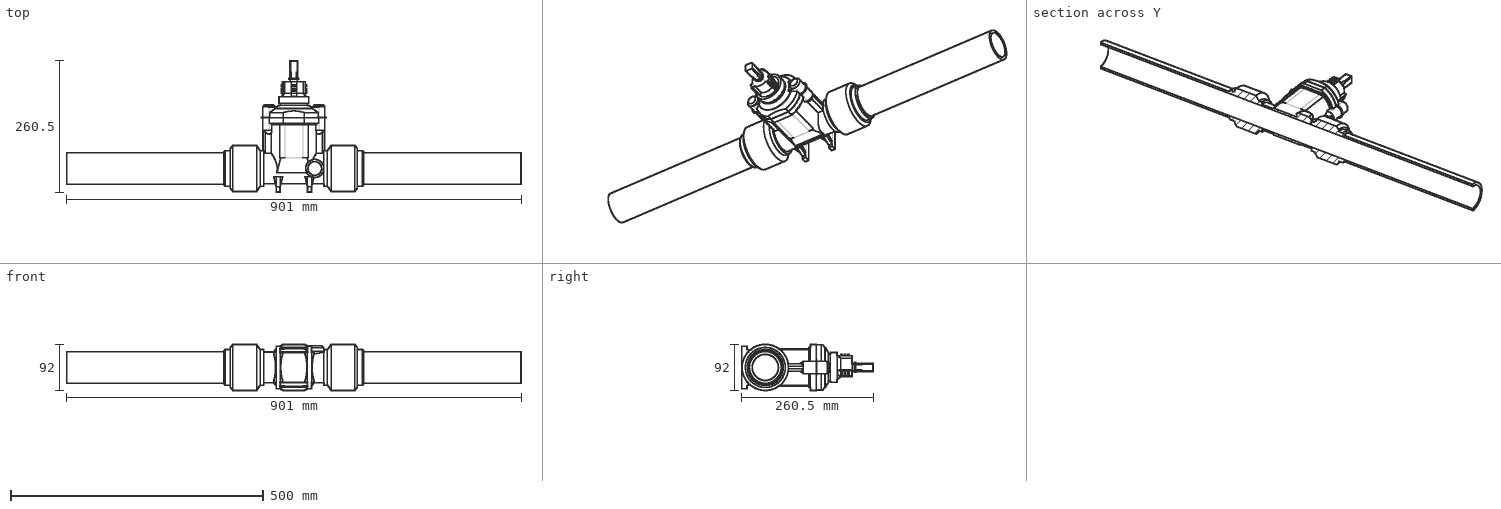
import cadquery as cq
import math


total_length = 901.0
pipe_radius = 31.5
body_radius = 31.0
bore_diameter = 51.0
socket_radius = 46.0
collar_diameter = 71.0
collar_radius = collar_diameter / 2
collar_inner_x = 59.5
socket_cone_inner_x = 67.0
socket_inner_x = 74.0
socket_outer_x = 121.0
socket_cone_outer_x = 126.0
collar_outer_x = 139.0
collar_chamfer = 3.0
socket_cone_radius = 40.0

housing_radius = 45.0
housing_half_height = 37.0
housing_bevel = 2.0
bevel_inner_x = 18.0
seat_top_y = 22.0
seat_bottom_y = -8.0
seat_bottom_z = 31.0
flange_radius = 50.5
flange_half_height = 46.0
bonnet_inset = 1.0
flange_bottom_y = 89.0
flange_root_thickness = 3.0
flange_root_radius = 47.0
flange_root_half_height = 40.0
split_y = 101.0
flange_top_y = 111.0
shoulder_y = 118.0
shoulder_radius = 40.0
dome_base_y = 119.0
dome_top_radius = 30.0
dome_top_y = 125.0
neck_radius = 27.0
neck_step_y = 129.0
gland_flange_radius = 30.0
gland_base_y = 142.0

boss_diameter = 24.0
boss_radius = boss_diameter / 2
boss_x = 50.0
boss_bottom_y = 76.0
boss_top_y = 126.0
boss_tip_length = 9.0
ear_chamfer = 4.0
boss_tip_radius = 6.0
rib_thickness = 14.0
rib_chamfer = 4.5
rib_outer_x = 61.0
gasket_thickness = 1.0
gasket_lip = 3.0

gland_radius = 19.0
gland_foot_radius = 24.0
gland_foot_y = 150.0
gland_top_y = 172.0
gland_rib_count = 3
gland_rib_width = 11.0
gland_rib_root = 23.0
gland_rib_tip = 26.0
tooth_count = 3
tooth_pitch = 6.8
tooth_width = 3.15

spindle_top_y = 213.5
spindle_square = 16.0
spindle_corner_diameter = 21.0
spindle_neck_radius = 7.0
spindle_collar_radius = 10.0
spindle_collar_y = 177.0
spindle_collar_thickness = 3.0
spindle_waist_y = 191.0
spindle_waist_width = 10.0

foot_spacing = 62.0
foot_thickness = 8.0
foot_bottom_y = -47.0
foot_plate_top_y = -36.0
foot_half_height = 42.0
foot_web_top_y = -16.0
foot_web_half_height = 30.0
foot_web_base_half_height = 36.0
gusset_half_width = 9.0
gusset_bottom_y = -36.0

plug_x = 41.0
plug_radius = 18.0
plug_face_radius = 13.5
plug_top_z = 43.0
plug_edge_z = 39.0
plug_rim_z = 32.0
plug_neck_radius = 12.0
plug_neck_z = 25.0


def cylinder_y(radius, start_y, end_y, x=0.0):
    """Cylinder along Y between two Y positions."""
    disc = cq.Workplane("XZ", origin=(x, start_y, 0)).circle(radius)
    return disc.extrude(start_y - end_y)


def block(x_range, y_range, z_range):
    """Box given by its lower and upper limit on each axis."""
    size = [high - low for low, high in (x_range, y_range, z_range)]
    corner = (x_range[0], y_range[0], z_range[0])
    return cq.Workplane("XY").box(*size, centered=False).translate(corner)


def turned_y(outline):
    """Solid of revolution about Y from (radius, y) points."""
    return cq.Workplane("XY").polyline(outline).close().revolve(360, (0, 0, 0), (0, 1, 0))


def make_pipe_run():
    half_outline = [
        (0, body_radius),
        (collar_inner_x, body_radius),
        (collar_inner_x, collar_radius),
        (socket_cone_inner_x, collar_radius),
        (socket_inner_x, socket_radius),
        (socket_outer_x, socket_radius),
        (socket_cone_outer_x, socket_cone_radius),
        (socket_cone_outer_x, collar_radius),
        (collar_outer_x - collar_chamfer, collar_radius),
        (collar_outer_x, collar_radius - collar_chamfer),
        (collar_outer_x, pipe_radius),
        (total_length / 2, pipe_radius),
        (total_length / 2, 0),
        (0, 0),
    ]
    half = cq.Workplane("XY").polyline(half_outline).close().revolve(360, (0, 0, 0), (1, 0, 0))
    return half.union(half.mirror("YZ"))


def make_housing():
    """Round housing with a bevelled flat on its upper and lower side."""
    round_body = cylinder_y(housing_radius, seat_top_y, flange_bottom_y)
    bevel_z = housing_half_height - housing_bevel
    bevel_outer_x = math.sqrt(housing_radius**2 - bevel_z**2)
    section = [
        (-housing_radius, -bevel_z),
        (-bevel_outer_x, -bevel_z),
        (-bevel_inner_x, -housing_half_height),
        (bevel_inner_x, -housing_half_height),
        (bevel_outer_x, -bevel_z),
        (housing_radius, -bevel_z),
        (housing_radius, bevel_z),
        (bevel_outer_x, bevel_z),
        (bevel_inner_x, housing_half_height),
        (-bevel_inner_x, housing_half_height),
        (-bevel_outer_x, bevel_z),
        (-housing_radius, bevel_z),
    ]
    envelope = cq.Workplane("XZ").polyline(section).close().extrude(-flange_bottom_y)
    return round_body.intersect(envelope).union(make_seat())


def make_seat():
    """Lower end of the round housing, sloped down to meet the pipe run."""
    side_outline = [
        (seat_top_y, housing_half_height),
        (seat_bottom_y, seat_bottom_z),
        (seat_bottom_y, -seat_bottom_z),
        (seat_top_y, -housing_half_height),
    ]
    slopes = cq.Workplane("YZ").polyline(side_outline).close().extrude(housing_radius, both=True)
    return cylinder_y(housing_radius, seat_bottom_y, seat_top_y).intersect(slopes)


def flatted_disc(radius, half_height, start_y, end_y):
    """Disc about Y with flats facing +Z and -Z."""
    flats = block((-radius, radius), (start_y, end_y), (-half_height, half_height))
    return cylinder_y(radius, start_y, end_y).intersect(flats)


def make_flange():
    root_y = flange_bottom_y - flange_root_thickness
    root = flatted_disc(flange_root_radius, flange_root_half_height, root_y, flange_bottom_y)
    return flatted_disc(flange_radius, flange_half_height, flange_bottom_y, split_y).union(root)


def make_bonnet():
    rim_radius = flange_radius - bonnet_inset
    rim_half_height = flange_half_height - bonnet_inset
    bonnet = turned_y([
        (0, split_y),
        (rim_radius, split_y),
        (rim_radius, flange_top_y),
        (shoulder_radius, shoulder_y),
        (shoulder_radius, dome_base_y),
        (dome_top_radius, dome_top_y),
        (neck_radius, dome_top_y),
        (neck_radius, neck_step_y),
        (gland_flange_radius, neck_step_y),
        (gland_flange_radius, gland_base_y),
        (0, gland_base_y),
    ])
    flats = block((-rim_radius, rim_radius), (split_y, gland_base_y),
                  (-rim_half_height, rim_half_height))
    return bonnet.intersect(flats)


def make_bolt_side():
    """Round-ended ear for a bolt, with its rib and gasket edge, on the +X side."""
    boss = cylinder_y(boss_radius, boss_bottom_y, boss_top_y, boss_x)
    web = block((0, boss_x), (boss_bottom_y, dome_top_y - ear_chamfer), (-boss_radius, boss_radius))
    ear = boss.faces(">Y").chamfer(ear_chamfer).union(web)
    tip = turned_y([
        (0, boss_bottom_y - boss_tip_length),
        (boss_tip_radius, boss_bottom_y - boss_tip_length),
        (boss_radius, boss_bottom_y),
        (0, boss_bottom_y),
    ]).translate((boss_x, 0, 0))
    half_rib = rib_thickness / 2
    rib = block((0, rib_outer_x), (0, flange_bottom_y), (-half_rib, half_rib))
    rib = rib.edges("|Y and >X").chamfer(rib_chamfer)
    gasket = cylinder_y(boss_radius + gasket_lip, split_y, split_y + gasket_thickness, boss_x)
    return ear.union(tip).union(rib).union(gasket)


def make_gland():
    core = turned_y([
        (0, gland_base_y),
        (gland_foot_radius, gland_base_y),
        (gland_radius, gland_foot_y),
        (gland_radius, gland_top_y),
        (0, gland_top_y),
    ])
    half_width = gland_rib_width / 2
    rib = block((-half_width, half_width), (gland_base_y, gland_top_y), (0, gland_rib_root))
    for index in range(tooth_count):
        tooth_y = gland_foot_y + index * tooth_pitch
        tooth = block((-half_width, half_width), (tooth_y, tooth_y + tooth_width), (0, gland_rib_tip))
        rib = rib.union(tooth)
    for index in range(gland_rib_count):
        angle = index * 360 / gland_rib_count
        core = core.union(rib.rotate((0, 0, 0), (0, 1, 0), angle))
    return core


def make_spindle():
    half = spindle_square / 2
    square = block((-half, half), (spindle_collar_y, spindle_top_y), (-half, half))
    rounding = cylinder_y(spindle_corner_diameter / 2, spindle_collar_y, spindle_top_y)
    waist_radius = math.hypot(half, spindle_waist_width / 2)
    waist = cylinder_y(waist_radius, spindle_collar_y, spindle_waist_y)
    upper = block((-half, half), (spindle_waist_y, spindle_top_y), (-half, half))
    square = square.intersect(rounding).intersect(waist.union(upper))
    neck = cylinder_y(spindle_neck_radius, gland_top_y, spindle_collar_y)
    collar = cylinder_y(spindle_collar_radius, spindle_collar_y,
                        spindle_collar_y + spindle_collar_thickness)
    return square.union(neck).union(collar)


def make_foot():
    """Foot on the +X side: upright plate, web to the pipe run and tapered gusset."""
    outline = [
        (foot_bottom_y, -foot_half_height),
        (foot_plate_top_y, -foot_half_height),
        (foot_plate_top_y, -foot_web_base_half_height),
        (foot_web_top_y, -foot_web_half_height),
        (foot_web_top_y, foot_web_half_height),
        (foot_plate_top_y, foot_web_base_half_height),
        (foot_plate_top_y, foot_half_height),
        (foot_bottom_y, foot_half_height),
    ]
    web = cq.Workplane("YZ").polyline(outline).close().extrude(foot_thickness / 2, both=True)
    gusset_outline = [
        (-gusset_half_width, foot_web_top_y),
        (gusset_half_width, foot_web_top_y),
        (foot_thickness / 2, gusset_bottom_y),
        (-foot_thickness / 2, gusset_bottom_y),
    ]
    gusset = cq.Workplane("XY").polyline(gusset_outline).close().extrude(foot_web_half_height, both=True)
    return web.union(gusset).translate((foot_spacing / 2, 0, 0))


def make_plug():
    outline = [
        (0, 0),
        (plug_neck_radius, 0),
        (plug_neck_radius, plug_neck_z),
        (plug_radius, plug_rim_z),
        (plug_radius, plug_edge_z),
        (plug_face_radius, plug_top_z),
        (0, plug_top_z),
    ]
    plug = cq.Workplane("XZ").polyline(outline).close().revolve(360, (0, 0, 0), (0, 1, 0))
    return plug.translate((plug_x, 0, 0))


result = make_pipe_run().union(make_housing()).union(make_flange()).union(make_bonnet())
for paired_part in (make_bolt_side(), make_foot()):
    result = result.union(paired_part).union(paired_part.mirror("YZ"))
result = result.union(make_gland()).union(make_spindle()).union(make_plug())

bore = cq.Workplane("YZ").circle(bore_diameter / 2).extrude(total_length / 2, both=True)
result = result.cut(bore)